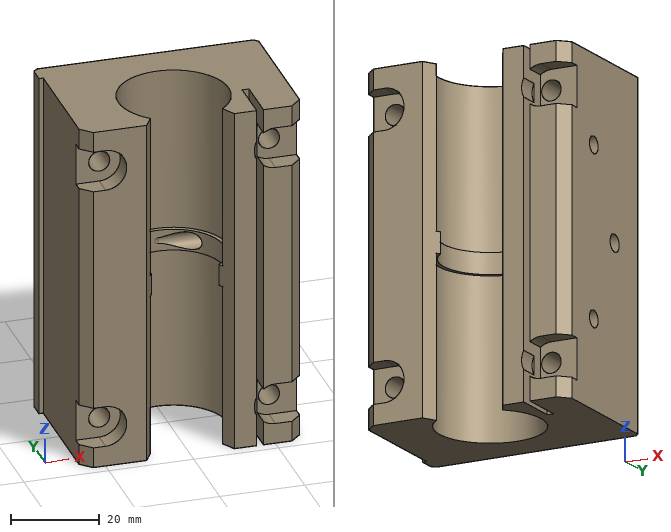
import cadquery as cq
import math

LENGTH = 84.0
WIDTH = 53.0
HEIGHT = 35.0
LEDGE_DEPTH = 1.0
LEDGE_HEIGHT = 4.95
BACK_CHAMFER = 1.0
FRONT_CHAMFER = 2.6

BORE_DIAMETER = 25.95
BORE_Y = 13.0
RIB_DIAMETER = 23.85
RIB_WIDTH = 5.2
OPENING_WIDTH = 20.7
OPENING_SIDE_ANGLE = 30.0

SLOT_CENTRE_X = 16.4
SLOT_WIDTH = 1.6
SLOT_DEPTH = 11.2
CLAMP_HOLE_DIAMETER = 4.1
CLAMP_HOLE_SPACING = 41.0

MOUNT_DIAMETER = 4.95
MOUNT_SPACING_X = 40.0
MOUNT_SPACING_Z = 64.2
COUNTERBORE_DIAMETER = 9.9
COUNTERBORE_DEPTH = 4.95

GREASE_DIAMETER = 4.3
GREASE_OFFSET = 9.9

HALF_WIDTH = WIDTH / 2


def cylinder(radius, length, start, direction):
    return cq.Workplane(cq.Solid.makeCylinder(radius, length, cq.Vector(*start), cq.Vector(*direction)))


def make_block():
    side_x = -HALF_WIDTH + LEDGE_DEPTH
    outline = [
        (side_x + FRONT_CHAMFER, 0),
        (HALF_WIDTH - FRONT_CHAMFER, 0),
        (HALF_WIDTH, FRONT_CHAMFER),
        (HALF_WIDTH, HEIGHT - BACK_CHAMFER),
        (HALF_WIDTH - BACK_CHAMFER, HEIGHT),
        (-HALF_WIDTH + BACK_CHAMFER, HEIGHT),
        (-HALF_WIDTH, HEIGHT - BACK_CHAMFER),
        (-HALF_WIDTH, HEIGHT - LEDGE_HEIGHT),
        (side_x, HEIGHT - LEDGE_HEIGHT),
        (side_x, FRONT_CHAMFER),
    ]
    return cq.Workplane("XY").polyline(outline).close().extrude(LENGTH / 2, both=True)


def make_bore():
    """Full-length rib-size bore, opened out to bearing size on both sides of the rib."""
    bore = cylinder(RIB_DIAMETER / 2, LENGTH, (0, BORE_Y, -LENGTH / 2), (0, 0, 1))
    for end in (-1, 1):
        seat = cylinder(
            BORE_DIAMETER / 2,
            (LENGTH - RIB_WIDTH) / 2,
            (0, BORE_Y, end * LENGTH / 2),
            (0, 0, -end),
        )
        bore = bore.union(seat)
    return bore


def make_opening():
    half = OPENING_WIDTH / 2
    inner_y = BORE_Y / 2
    inner_half = half - inner_y * math.tan(math.radians(OPENING_SIDE_ANGLE))
    outline = [(-half, 0), (half, 0), (inner_half, inner_y), (-inner_half, inner_y)]
    return cq.Workplane("XY").polyline(outline).close().extrude(LENGTH / 2, both=True)


def make_slot():
    return (
        cq.Workplane("XY")
        .box(SLOT_WIDTH, SLOT_DEPTH, LENGTH)
        .translate((SLOT_CENTRE_X, SLOT_DEPTH / 2, 0))
    )


def make_clamp_hole(z):
    """Hole from the bore, across the end of the slot, out through the +X side."""
    return cylinder(CLAMP_HOLE_DIAMETER / 2, HALF_WIDTH, (0, BORE_Y, z), (1, 0, 0))


def make_mount(side, z):
    x = side * MOUNT_SPACING_X / 2
    hole = cylinder(MOUNT_DIAMETER / 2, HEIGHT, (x, 0, z), (0, 1, 0))
    seat = cylinder(COUNTERBORE_DIAMETER / 2, COUNTERBORE_DEPTH, (x, 0, z), (0, 1, 0))
    run_out_length = HALF_WIDTH - MOUNT_SPACING_X / 2
    run_out = (
        cq.Workplane("XY")
        .box(run_out_length, COUNTERBORE_DEPTH, COUNTERBORE_DIAMETER)
        .translate((x + side * run_out_length / 2, COUNTERBORE_DEPTH / 2, z))
    )
    return hole.union(seat).union(run_out)


def make_grease_hole():
    """Hole from the +X side ending in a ball at the middle of the block."""
    centre = (0, BORE_Y + GREASE_OFFSET, 0)
    radius = GREASE_DIAMETER / 2
    ball_end = cq.Workplane("XY").sphere(radius).translate(centre)
    return cylinder(radius, HALF_WIDTH, centre, (1, 0, 0)).union(ball_end)


result = make_block().cut(make_bore()).cut(make_opening()).cut(make_slot()).cut(make_grease_hole())
for end in (-1, 1):
    result = result.cut(make_clamp_hole(end * CLAMP_HOLE_SPACING / 2))
    for side in (-1, 1):
        result = result.cut(make_mount(side, end * MOUNT_SPACING_Z / 2))